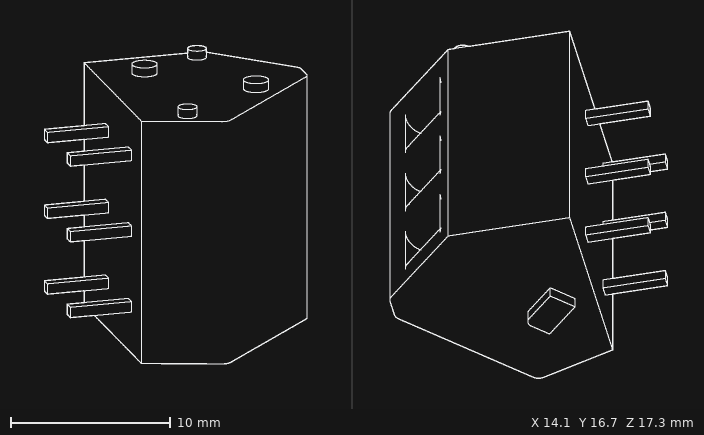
import cadquery as cq
import math

pitch = 5.0
pole_count = 3

housing_height = 16.0
housing_depth = 12.7
base_width = 12.5
left_side_height = 7.82
top_flat_width = 1.75
right_lean_angle = 17.8
corner_radius = 0.6

pin_size = 0.7
pin_length = 4.01
pin_columns = (pitch, 2 * pitch)
first_pin_z = 3.08

peg_height = 0.59
small_peg_diameter = 1.2
large_peg_diameter = 1.6
small_peg_centers = [(1.0, 7.11), (12.25, 3.1)]
large_peg_centers = [(3.13, 3.03), (8.22, 8.8)]

entry_length = 4.08
entry_throat = 1.21
entry_depth = 1.49
entry_flare_radius = 1.0
entry_edge_offset = 0.93
first_entry_z = 2.7

key_height = 0.71
key_left_corner = (6.05, 2.6)
key_length = 2.98
key_width = 1.85
key_corner_radius = 0.5


def make_housing():
    slope_run = housing_depth - left_side_height
    flat_end = slope_run + top_flat_width
    lean = math.tan(math.radians(right_lean_angle))
    right_corner_y = (flat_end + housing_depth - base_width) / (1 + lean)
    right_corner_x = base_width + lean * right_corner_y
    outline = [
        (0, 0),
        (base_width, 0),
        (right_corner_x, right_corner_y),
        (flat_end, housing_depth),
        (slope_run, housing_depth),
        (0, left_side_height),
    ]
    block = cq.Workplane("XY").polyline(outline).close().extrude(housing_height)
    right_edge = block.edges("|Z").edges(">X")
    rounded = right_edge.fillet(corner_radius)
    return rounded.edges("|Z").edges(">Y").fillet(corner_radius)


def make_pin(x, z):
    return (
        cq.Workplane("XY")
        .box(pin_size, pin_length + pin_size, pin_size, centered=(True, False, True))
        .translate((x, -pin_length, z))
    )


def make_pegs(centers, diameter):
    return (
        cq.Workplane("XY", origin=(0, 0, housing_height))
        .pushPoints(centers)
        .circle(diameter / 2)
        .extrude(peg_height)
    )


def make_entry(z):
    """Slot whose upper and lower lips flare out as quarter rounds."""
    half_throat = entry_throat / 2
    half_mouth = half_throat + entry_flare_radius
    arc_offset = entry_flare_radius * math.sqrt(0.5)
    arc_mid = (half_mouth - arc_offset, arc_offset - entry_flare_radius)
    start = entry_edge_offset * math.sqrt(0.5)
    plane = cq.Plane(
        origin=(start, left_side_height + start, z),
        xDir=(0, 0, -1),
        normal=(1, 1, 0),
    )
    return (
        cq.Workplane(plane)
        .moveTo(-half_throat, -entry_depth)
        .lineTo(half_throat, -entry_depth)
        .lineTo(half_throat, -entry_flare_radius)
        .threePointArc(arc_mid, (half_mouth, 0))
        .lineTo(-half_mouth, 0)
        .threePointArc((-arc_mid[0], arc_mid[1]), (-half_throat, -entry_flare_radius))
        .close()
        .extrude(entry_length)
    )


def make_key():
    return (
        cq.Workplane("XY")
        .box(key_length, key_width, key_height, centered=False)
        .translate((0, -key_width, -key_height))
        .rotate((0, 0, 0), (0, 0, 1), 45)
        .edges("|Z")
        .edges(">Y")
        .fillet(key_corner_radius)
        .translate((*key_left_corner, 0))
    )


result = make_housing()
for pole in range(pole_count):
    result = result.cut(make_entry(first_entry_z + pole * pitch))
    for column_x in pin_columns:
        result = result.union(make_pin(column_x, first_pin_z + pole * pitch))

result = result.union(make_pegs(small_peg_centers, small_peg_diameter))
result = result.union(make_pegs(large_peg_centers, large_peg_diameter))
result = result.union(make_key())